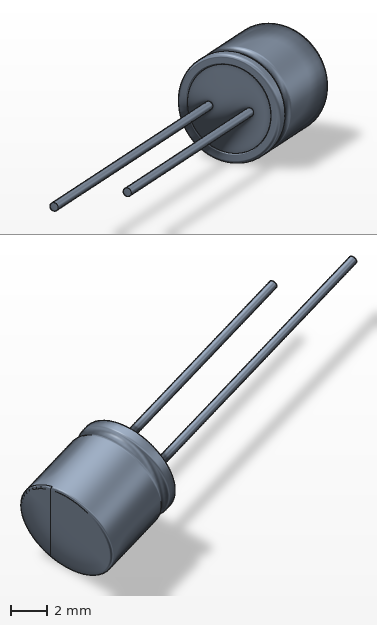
import cadquery as cq


can_diameter = 6.3
can_length = 6.0
closed_end_round = 0.15
open_end_round = 0.2
can_radius = can_diameter / 2
total_length = 25.0

groove_center = 1.05
groove_half_width = 0.3
groove_lip_width = 0.15
groove_depth = 0.188

seal_diameter = 5.12
seal_recess = 0.1
seal_thickness = 0.9
mouth_round = seal_recess

mark_edge_x = 1.05
mark_thickness = closed_end_round

lead_diameter = 0.5
lead_pitch = 2.5
short_lead_length = 15.0
long_lead_length = total_length - can_length

open_end_y = long_lead_length
closed_end_y = open_end_y + can_length
seal_face_y = open_end_y + seal_recess


def y_cylinder(diameter, start_y, length, x=0.0):
    """Cylinder along +Y from start_y, with its axis at the given X."""
    return cq.Workplane("XZ", origin=(x, start_y, 0)).circle(diameter / 2).extrude(-length)


def make_can_blank():
    """Solid can with rounded ends and its crimp groove, without recesses."""
    groove_y = open_end_y + groove_center
    floor_radius = can_radius - groove_depth
    lip_reach = groove_half_width + groove_lip_width
    lip_radius = can_radius - groove_depth * groove_lip_width / lip_reach
    profile = (
        cq.Workplane("XY")
        .moveTo(0, open_end_y)
        .lineTo(can_radius - open_end_round, open_end_y)
        .tangentArcPoint((can_radius, open_end_y + open_end_round), relative=False)
        .lineTo(can_radius, groove_y - lip_reach)
        .tangentArcPoint((lip_radius, groove_y - groove_half_width), relative=False)
        .tangentArcPoint((floor_radius, groove_y), relative=False)
        .tangentArcPoint((lip_radius, groove_y + groove_half_width), relative=False)
        .tangentArcPoint((can_radius, groove_y + lip_reach), relative=False)
        .lineTo(can_radius, closed_end_y - closed_end_round)
        .tangentArcPoint((can_radius - closed_end_round, closed_end_y), relative=False)
        .lineTo(0, closed_end_y)
        .close()
    )
    return profile.revolve(360, (0, 0, 0), (0, 1, 0))


def make_mark(can_blank):
    """Circle segment of the closed end, following the rounded edge of the can."""
    cutter = cq.Workplane("XY").box(can_radius, mark_thickness, can_diameter, centered=(False, False, True))
    return can_blank.intersect(cutter.translate((mark_edge_x, closed_end_y - mark_thickness, 0)))


def make_seal():
    return y_cylinder(seal_diameter, seal_face_y, seal_thickness)


def make_can(can_blank, mark):
    """Can with a seal pocket, a rounded pocket mouth and a recess for the mark."""
    pocket = y_cylinder(seal_diameter, open_end_y, seal_recess + seal_thickness)
    mouth_edge = cq.selectors.RadiusNthSelector(0)
    can = can_blank.cut(pocket)
    can = can.faces("<Y").edges(mouth_edge).fillet(mouth_round)
    return can.cut(mark)


def make_lead(x, length):
    """Round wire ending on the seal face; length is measured from the open end of the can."""
    return y_cylinder(lead_diameter, open_end_y - length, length + seal_recess, x)


can_blank = make_can_blank()
mark = make_mark(can_blank)
can = make_can(can_blank, mark)
seal = make_seal()
leads = [
    make_lead(x, length)
    for x, length in ((-lead_pitch / 2, long_lead_length), (lead_pitch / 2, short_lead_length))
]

result = cq.Compound.makeCompound([can.val(), seal.val(), mark.val(), *[lead.val() for lead in leads]])